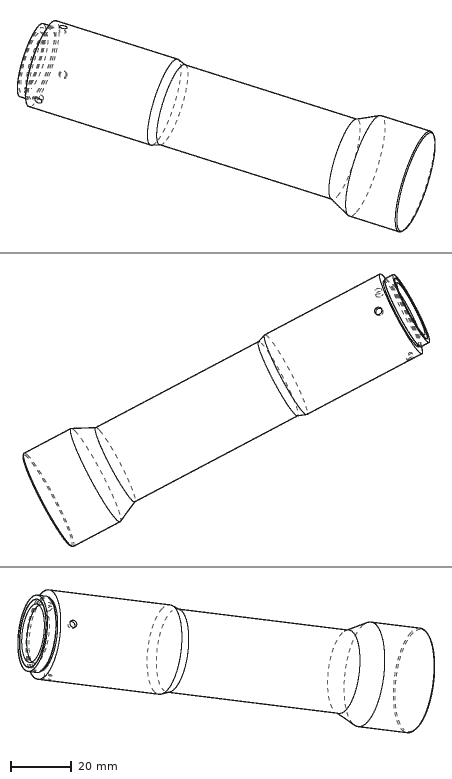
import cadquery as cq
import math

length = 137.1
collar_end = 3.2
body_start = 3.8
body_end = 47.3
tube_start = 50.2
tube_end = 111.6
head_start = 119.0

collar_radius = 12.8
groove_radius = 12.3
body_radius = 15.0
tube_radius = 27.8 / 2
head_radius = 35.0 / 2
head_chamfer = 0.4

step_radius = 11.4
step_depth = 0.1
recess_depth = 1.9
lens_radius = 9.7
lens_height = 0.8

hole_count = 3
hole_radius = 1.2
hole_depth = 1.6
hole_x = 8.4


def make_barrel():
    """Stepped outer shape, revolved about the X axis."""
    profile = [
        (0, 0),
        (0, collar_radius),
        (collar_end, collar_radius),
        (collar_end, groove_radius),
        (body_start, groove_radius),
        (body_start, body_radius),
        (body_end, body_radius),
        (tube_start, tube_radius),
        (tube_end, tube_radius),
        (head_start, head_radius),
        (length - head_chamfer, head_radius),
        (length, head_radius - head_chamfer),
        (length, 0),
    ]
    return cq.Workplane("XY").polyline(profile).close().revolve(360, (0, 0), (1, 0))


def make_recess():
    """Stepped front pocket whose floor rises into a spherical dome."""
    sphere_radius = (lens_radius**2 + lens_height**2) / (2 * lens_height)
    half_angle = math.asin(lens_radius / sphere_radius) / 2
    mid_radius = sphere_radius * math.sin(half_angle)
    mid_height = lens_height - sphere_radius * (1 - math.cos(half_angle))
    return (
        cq.Workplane("XY")
        .moveTo(0, 0)
        .lineTo(0, step_radius)
        .lineTo(step_depth, step_radius)
        .lineTo(step_depth, lens_radius)
        .lineTo(recess_depth, lens_radius)
        .threePointArc((recess_depth - mid_height, mid_radius), (recess_depth - lens_height, 0))
        .close()
        .revolve(360, (0, 0), (1, 0))
    )


def make_radial_holes():
    """Equally spaced blind holes; the first one opens toward -Y."""
    first_hole = (
        cq.Workplane("XZ", origin=(hole_x, -(body_radius - hole_depth), 0))
        .circle(hole_radius)
        .extrude(2 * hole_depth)
    )
    holes = cq.Workplane("XY")
    for index in range(hole_count):
        holes = holes.add(first_hole.rotate((0, 0, 0), (1, 0, 0), index * 360 / hole_count))
    return holes.combine()


result = make_barrel().cut(make_recess()).cut(make_radial_holes())